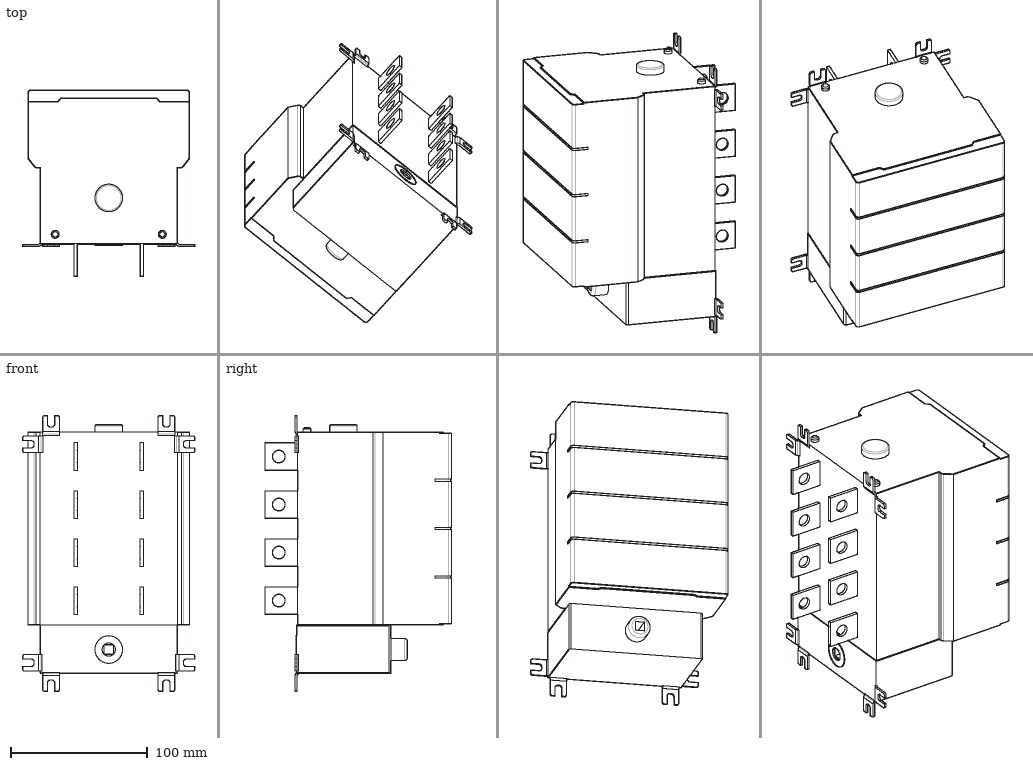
import cadquery as cq


POLES = 4
MODULE = 35.1
BODY_TOP = 176.8
BODY_HEIGHT = BODY_TOP - MODULE
BODY_MIDDLE = MODULE + BODY_HEIGHT / 2
BODY_DEPTH = 112.7
NECK_HALF = 50.3
BODY_HALF = 59.2
SHOULDER_Y = 55.4
SHOULDER_HALF = 53.1
BEVEL = (54.7, 56.5)
BEVEL_END_Y = 62.5
EDGE_CHAMFER = 0.5

COVER_INSET = 0.8
COVER_EDGE_DEPTH = 8.7
COVER_CENTRE_DEPTH = 5.9
COVER_STEP_OUTER = 37.5
COVER_STEP_INNER = 35.0
COVER_RADIUS = 2.2
COVER_OVERLAP = 2.0
POLE_PITCH = BODY_HEIGHT / POLES
GROOVE_HEIGHT = 1.6
GROOVE_LENGTH = 12.0
GROOVE_DEPTH = 0.5

BOX_FRONT = -0.6
BOX_BACK = 68.3
BOX_BACK_CHAMFER = 1.5
SHAFT_Z = 17.4
SHAFT_DIAMETER = 16.4
SHAFT_END = 80.5
SHAFT_RADIUS = 2.2
DISC_DIAMETER = 20.2
DISC_FRONT = -1.2
BORE_DIAMETER = 9.7
BORE_DEPTH = 1.2
SQUARE_SIZE = 6.7

KNOB_DIAMETER = 20.2
KNOB_HEIGHT = 5.3
KNOB_RADIUS = 1.0
KNOB_Y = 33.5
SCREW_DIAMETER = 5.9
SCREW_HEIGHT = 3.0
SCREW_CHAMFER = 1.0
SCREW_X = 39.2
SCREW_Y = 6.9

BLADE_X = 24.2
BLADE_THICKNESS = 2.5
BLADE_HEIGHT = 20.2
BLADE_LENGTH = 23.8
BLADE_PITCH = MODULE
BLADE_HOLE_DIAMETER = 9.0
BLADE_HOLE_Y = -13.7
EMBED = 2.0

LUG_WIDTH = 12.3
LUG_FRONT = -2.0
LUG_BACK = -0.5
LUG_FLAT = 11.7
LUG_BEND_MIDDLE = (13.3, -1.2)
LUG_BEND_END = (14.7, 0)
LUG_INNER_Y = 2.5
LUG_SLOT_WIDTH = 5.3
LUG_SLOT_DEPTH = 8.3
LUG_TIP_RADIUS = 1.5
LUG_SLOT_RADIUS = 2.0
END_LUG_X = 42.2
TOP_LUG_TIP = 188.7
BOTTOM_LUG_TIP = TOP_LUG_TIP - 202
SIDE_LUG_TIP = 63.0
SIDE_LUG_HEIGHTS = (7.7, 167.7)


def body():
    side_y = BODY_DEPTH - COVER_EDGE_DEPTH
    centre_y = BODY_DEPTH - COVER_CENTRE_DEPTH
    half = [
        (NECK_HALF, -EMBED),
        (NECK_HALF, SHOULDER_Y),
        (SHOULDER_HALF, SHOULDER_Y),
        BEVEL,
        (BODY_HALF, BEVEL_END_Y),
        (BODY_HALF, side_y),
        (COVER_STEP_OUTER, side_y),
        (COVER_STEP_INNER, centre_y),
    ]
    outline = half + [(-x, y) for x, y in reversed(half)]
    block = (
        cq.Workplane("XY", origin=(0, 0, MODULE))
        .polyline(outline).close()
        .extrude(BODY_HEIGHT)
        .faces("|Z").chamfer(EDGE_CHAMFER)
    )
    behind_face = cq.Workplane("XY").box(
        2 * BODY_HALF, BODY_DEPTH, BODY_TOP, centered=(True, False, False)
    )
    return block.intersect(behind_face)


def rear_block(half_width, length, height, back_y):
    """Block ending at back_y, with rounded rear corners."""
    return (
        cq.Workplane("XY", origin=(0, back_y - length / 2, 0))
        .box(2 * half_width, length, height)
        .edges("|Z and >Y").fillet(COVER_RADIUS)
    )


def cover():
    length = COVER_EDGE_DEPTH + COVER_OVERLAP
    block = rear_block(BODY_HALF, length, BODY_HEIGHT - 2 * COVER_INSET, BODY_DEPTH)
    return block.faces("|Z").edges("not <Y").chamfer(EDGE_CHAMFER).translate((0, 0, BODY_MIDDLE))


def pole_groove():
    """Shallow groove around the sides and back, centred on Z = 0."""
    band = rear_block(BODY_HALF, GROOVE_LENGTH, GROOVE_HEIGHT, BODY_DEPTH)
    core = rear_block(
        BODY_HALF - GROOVE_DEPTH, GROOVE_LENGTH, GROOVE_HEIGHT, BODY_DEPTH - GROOVE_DEPTH
    )
    return band.cut(core)


def drive_box():
    depth = BOX_BACK - BOX_FRONT
    return (
        cq.Workplane("XY", origin=(0, BOX_FRONT + depth / 2, MODULE / 2))
        .box(2 * NECK_HALF, depth, MODULE)
        .edges("|Z and >Y").chamfer(BOX_BACK_CHAMFER)
        .edges("|Y").chamfer(EDGE_CHAMFER)
    )


def y_cylinder(diameter, start, end):
    """Cylinder on the drive shaft axis, from start to end along Y."""
    return (
        cq.Workplane("XZ", origin=(0, start, SHAFT_Z))
        .circle(diameter / 2)
        .extrude(start - end)
    )


def shaft_boss():
    boss = y_cylinder(SHAFT_DIAMETER, BOX_BACK - EMBED, SHAFT_END)
    return boss.faces(">Y").edges().fillet(SHAFT_RADIUS)


def shaft_disc():
    return y_cylinder(DISC_DIAMETER, DISC_FRONT, EMBED)


def shaft_bore():
    """Square hole right through the shaft, with a shallow round recess at the front."""
    square = (
        cq.Workplane("XZ", origin=(0, DISC_FRONT, SHAFT_Z))
        .rect(SQUARE_SIZE, SQUARE_SIZE)
        .extrude(DISC_FRONT - SHAFT_END)
    )
    return square.union(y_cylinder(BORE_DIAMETER, DISC_FRONT, DISC_FRONT + BORE_DEPTH))


def top_stud(diameter, height, x, y):
    """Round stud on the top face, with its upper rim selected for rounding or bevelling."""
    return (
        cq.Workplane("XY", origin=(x, y, BODY_TOP - EMBED))
        .circle(diameter / 2)
        .extrude(height + EMBED)
        .faces(">Z").edges()
    )


def blade(x, z):
    length = BLADE_LENGTH + EMBED
    plate = cq.Workplane("XY", origin=(x, EMBED - length / 2, z)).box(
        BLADE_THICKNESS, length, BLADE_HEIGHT
    )
    hole = (
        cq.Workplane("YZ", origin=(x, BLADE_HOLE_Y, z))
        .circle(BLADE_HOLE_DIAMETER / 2)
        .extrude(BLADE_THICKNESS, both=True)
    )
    return plate.cut(hole)


def lug():
    """Lug pointing up: slotted tip at Z = 0, bent leg below, centred on X = 0."""
    leg_bottom = -LUG_BEND_END[0]
    thickness = LUG_BACK - LUG_FRONT
    profile = [
        (LUG_FRONT, 0),
        (LUG_FRONT, -LUG_FLAT),
        (LUG_BEND_MIDDLE[1], -LUG_BEND_MIDDLE[0]),
        (LUG_BEND_END[1], leg_bottom),
        (LUG_INNER_Y, leg_bottom),
        (LUG_BACK, -LUG_FLAT),
        (LUG_BACK, 0),
    ]
    strip = (
        cq.Workplane("YZ")
        .polyline(profile).close()
        .extrude(LUG_WIDTH / 2, both=True)
        .edges("|Y and >Z").fillet(LUG_TIP_RADIUS)
    )
    slot = (
        cq.Workplane("XY", origin=(0, LUG_FRONT + thickness / 2, 0))
        .box(LUG_SLOT_WIDTH, thickness, 2 * LUG_SLOT_DEPTH)
        .edges("|Y and <Z").fillet(LUG_SLOT_RADIUS)
    )
    return strip.cut(slot)


def all_lugs():
    lugs = []
    for side in (-1, 1):
        x = side * END_LUG_X
        lugs.append(lug().translate((x, 0, TOP_LUG_TIP)))
        lugs.append(lug().rotate((0, 0, 0), (0, 1, 0), 180).translate((x, 0, BOTTOM_LUG_TIP)))
        for z in SIDE_LUG_HEIGHTS:
            turned = lug().rotate((0, 0, 0), (0, 1, 0), side * 90)
            lugs.append(turned.translate((side * SIDE_LUG_TIP, 0, z)))
    return lugs


result = body().union(cover())
for joint in range(1, POLES):
    result = result.cut(pole_groove().translate((0, 0, MODULE + joint * POLE_PITCH)))

result = result.union(drive_box()).union(shaft_boss()).union(shaft_disc()).cut(shaft_bore())

result = result.union(top_stud(KNOB_DIAMETER, KNOB_HEIGHT, 0, KNOB_Y).fillet(KNOB_RADIUS))
for side in (-1, 1):
    screw = top_stud(SCREW_DIAMETER, SCREW_HEIGHT, side * SCREW_X, SCREW_Y).chamfer(SCREW_CHAMFER)
    result = result.union(screw)
    for pole in range(POLES):
        z = BODY_MIDDLE + (pole - (POLES - 1) / 2) * BLADE_PITCH
        result = result.union(blade(side * BLADE_X, z))

for part in all_lugs():
    result = result.union(part)